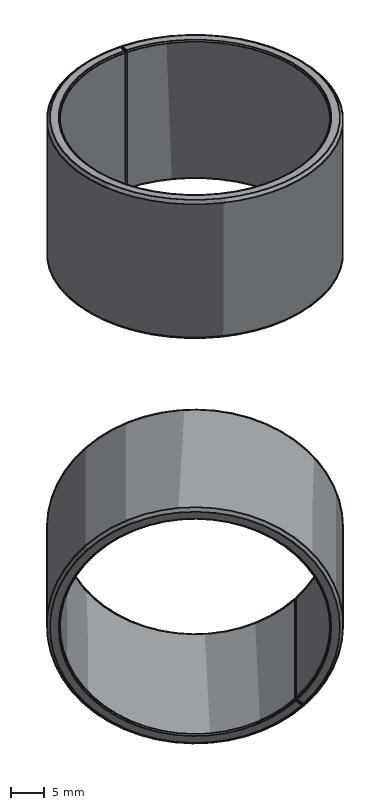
import cadquery as cq

outer_diameter = 44.0
wall = 2.0
height = 25.0
outer_chamfer = 0.5
inner_chamfer = 0.2
slit_width = 0.3

outer_radius = outer_diameter / 2
inner_radius = outer_radius - wall
half_height = height / 2

profile = [
    (inner_radius, -half_height + inner_chamfer),
    (inner_radius + inner_chamfer, -half_height),
    (outer_radius - outer_chamfer, -half_height),
    (outer_radius, -half_height + outer_chamfer),
    (outer_radius, half_height - outer_chamfer),
    (outer_radius - outer_chamfer, half_height),
    (inner_radius + inner_chamfer, half_height),
    (inner_radius, half_height - inner_chamfer),
]
sleeve = cq.Workplane("XZ").polyline(profile).close().revolve(360, (0, 0), (0, 1))

slit = (
    cq.Workplane("XY")
    .box(outer_radius, slit_width, height, centered=(True, False, True))
    .translate((-outer_radius, 0, 0))
)

result = sleeve.cut(slit)